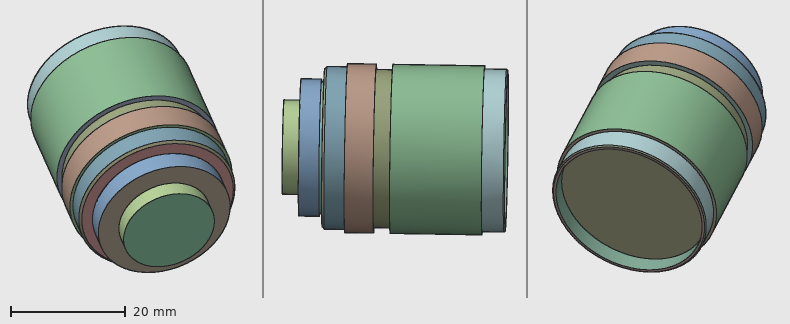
import cadquery as cq

total_length = 38.9
barrel_radius = 14.75

front_band_end = 4.05
groove_start = 20.05
groove_end = 22.9
rear_ring_end = 27.93
rear_band_end = 31.9
neck_end = 32.4
flange_end = 36.0

band_radius = 14.2
groove_radius = 13.8
neck_radius = 11.5
flange_radius = 12.0
tail_radius = 8.25

front_chamfer = 0.25
rear_chamfer = 0.43
recess_radius = 13.5
recess_depth = 3.0


def disc(start, end, radius):
    """Solid cylinder along X between two stations."""
    return cq.Workplane("YZ").workplane(offset=start).circle(radius).extrude(end - start)


front_band = disc(0, front_band_end, band_radius).faces("<X").chamfer(front_chamfer)
rear_band = disc(rear_ring_end, rear_band_end, band_radius).faces(">X").chamfer(rear_chamfer)

plain_steps = [
    (front_band_end, groove_start, barrel_radius),
    (groove_start, groove_end, groove_radius),
    (groove_end, rear_ring_end, barrel_radius),
    (rear_band_end, neck_end, neck_radius),
    (neck_end, flange_end, flange_radius),
    (flange_end, total_length, tail_radius),
]

body = front_band.union(rear_band)
for start, end, radius in plain_steps:
    body = body.union(disc(start, end, radius))

result = body.cut(disc(0, recess_depth, recess_radius))